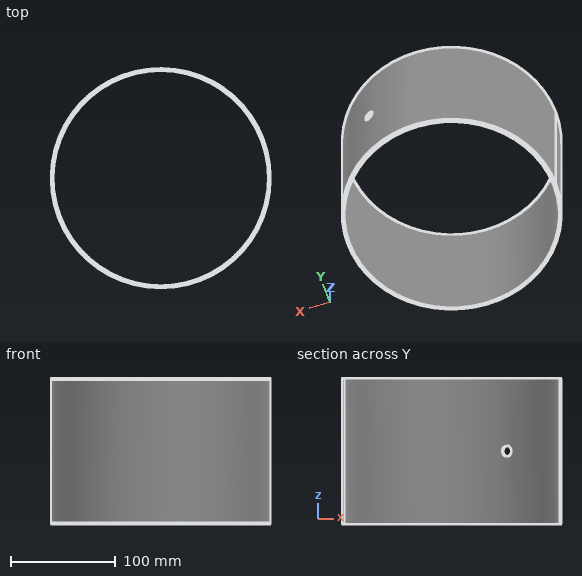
import cadquery as cq
import math

outer_radius = 105.0
height = 140.0
wall = 2.5
outer_bevel_height = 1.9
inner_bevel_height = 0.5
bevel_depth = 0.6
slit_width = 1.7
slit_center_y = 0.8
hole_diameter = 10.0
hole_angle = 59.2

inner_radius = outer_radius - wall
half_height = height / 2
outer_bevel_start = half_height - outer_bevel_height
inner_bevel_start = half_height - inner_bevel_height
rim_outer_radius = outer_radius - bevel_depth
rim_inner_radius = inner_radius + bevel_depth


def make_sleeve():
    """Thin tube, centred on the origin, with both rims bevelled outside and inside."""
    wall_section = [
        (inner_radius, -inner_bevel_start),
        (rim_inner_radius, -half_height),
        (rim_outer_radius, -half_height),
        (outer_radius, -outer_bevel_start),
        (outer_radius, outer_bevel_start),
        (rim_outer_radius, half_height),
        (rim_inner_radius, half_height),
        (inner_radius, inner_bevel_start),
    ]
    return cq.Workplane("XZ").polyline(wall_section).close().revolve(360, (0, 0, 0), (0, 1, 0))


def make_slit():
    """Full-height cutter that splits the wall on the -X side."""
    slit = cq.Workplane("XY").box(2 * wall, slit_width, height)
    mid_wall_radius = outer_radius - wall / 2
    return slit.translate((-mid_wall_radius, slit_center_y, 0))


def make_hole():
    """Radial cutter through one side of the wall at mid height."""
    direction = cq.Vector(math.cos(math.radians(hole_angle)), math.sin(math.radians(hole_angle)), 0)
    hole_length = outer_radius + wall
    return cq.Workplane(cq.Solid.makeCylinder(hole_diameter / 2, hole_length, cq.Vector(0, 0, 0), direction))


result = make_sleeve().cut(make_slit()).cut(make_hole())